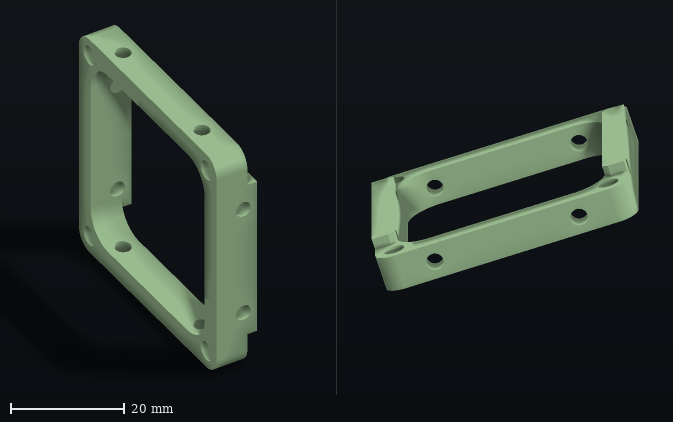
import cadquery as cq

side = 46.8
frame_depth = 6.35
overall_depth = 8.4
wall = 4.02
outer_radius = 3.5
inner_radius = 5.9

tab_length = 32.85
tab_bevel_width = 1.05
tab_bevel_drop = 0.7

corner_hole_diameter = 3.8
corner_hole_pitch = side - 2 * outer_radius
cross_hole_diameter = 3.1
vertical_hole_pitch = 26.75
vertical_hole_y = 3.05
side_hole_pitch = 22.75
side_hole_y = 5.55

opening = side - 2 * wall


def rounded_square(width, radius, depth):
    """Square block with rounded corners, running from Y = 0 to Y = depth."""
    block = cq.Workplane("XY").box(width, depth, width, centered=(True, False, True))
    return block.edges("|Y").fillet(radius)


def make_tab():
    """Right-hand tab, with both ends bevelled towards its inner face."""
    outer_x = side / 2
    inner_x = outer_x - wall
    bevel_x = inner_x + tab_bevel_width
    end_z = tab_length / 2
    bevel_z = end_z - tab_bevel_drop
    profile = [
        (outer_x, -end_z),
        (outer_x, end_z),
        (bevel_x, end_z),
        (inner_x, bevel_z),
        (inner_x, -bevel_z),
        (bevel_x, -end_z),
    ]
    return cq.Workplane("XZ").polyline(profile).close().extrude(-overall_depth)


frame = rounded_square(side, outer_radius, frame_depth)
frame = frame.cut(rounded_square(opening, inner_radius, frame_depth))

right_tab = make_tab()
frame = frame.union(right_tab).union(right_tab.mirror("YZ"))

corner_holes = (
    cq.Workplane("XZ")
    .rarray(corner_hole_pitch, corner_hole_pitch, 2, 2)
    .circle(corner_hole_diameter / 2)
    .extrude(-overall_depth)
)

vertical_holes = (
    cq.Workplane("XY")
    .center(0, vertical_hole_y)
    .rarray(vertical_hole_pitch, 0.45, 2, 1)
    .circle(cross_hole_diameter / 2)
    .extrude(side / 2, both=True)
)

side_holes = (
    cq.Workplane("YZ")
    .center(side_hole_y, 0)
    .rarray(0.45, side_hole_pitch, 1, 2)
    .circle(cross_hole_diameter / 2)
    .extrude(side / 2, both=True)
)

result = frame.cut(corner_holes).cut(vertical_holes).cut(side_holes)